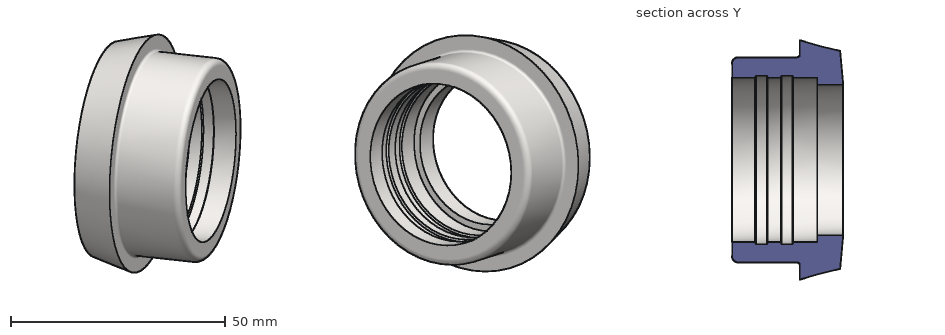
import cadquery as cq

length = 26.0
flange_back = 10.15
face_cone_depth = 0.7

flange_diameter = 56.0
flange_front_diameter = 50.95
face_land_diameter = 35.95
spigot_diameter = 48.0
root_fillet = 0.7
end_fillet = 1.5

bore_diameter = 35.1
socket_diameter = 38.3
groove_diameter = 39.3
bore_depth = 6.05
groove_width = 3.0
groove_flank_run = 0.3
first_groove_start = 11.6
groove_pitch = 6.0
groove_count = 2


def cylinder(diameter, start, end):
    """Solid cylinder about the X axis between two axial positions."""
    return cq.Workplane("YZ", origin=(start, 0, 0)).circle(diameter / 2).extrude(end - start)


def outer_body():
    """Tapered flange with a shallow conical face, and the spigot behind it."""
    spigot_radius = spigot_diameter / 2
    return (
        cq.Workplane("XY")
        .moveTo(0, 0)
        .lineTo(0, face_land_diameter / 2)
        .lineTo(face_cone_depth, flange_front_diameter / 2)
        .lineTo(flange_back, flange_diameter / 2)
        .lineTo(flange_back, spigot_radius + root_fillet)
        .radiusArc((flange_back + root_fillet, spigot_radius), -root_fillet)
        .lineTo(length - end_fillet, spigot_radius)
        .radiusArc((length, spigot_radius - end_fillet), end_fillet)
        .lineTo(length, 0)
        .close()
        .revolve(360, (0, 0, 0), (1, 0, 0))
    )


def groove_cutter(start):
    """Disc with sloping flanks that cuts one ring groove into the socket wall."""
    socket_radius = socket_diameter / 2
    groove_radius = groove_diameter / 2
    end = start + groove_width
    return (
        cq.Workplane("XY")
        .moveTo(start, 0)
        .lineTo(start, socket_radius)
        .lineTo(start + groove_flank_run, groove_radius)
        .lineTo(end - groove_flank_run, groove_radius)
        .lineTo(end, socket_radius)
        .lineTo(end, 0)
        .close()
        .revolve(360, (0, 0, 0), (1, 0, 0))
    )


result = outer_body()
result = result.cut(cylinder(bore_diameter, 0, bore_depth))
result = result.cut(cylinder(socket_diameter, bore_depth, length))

for index in range(groove_count):
    result = result.cut(groove_cutter(first_groove_start + index * groove_pitch))